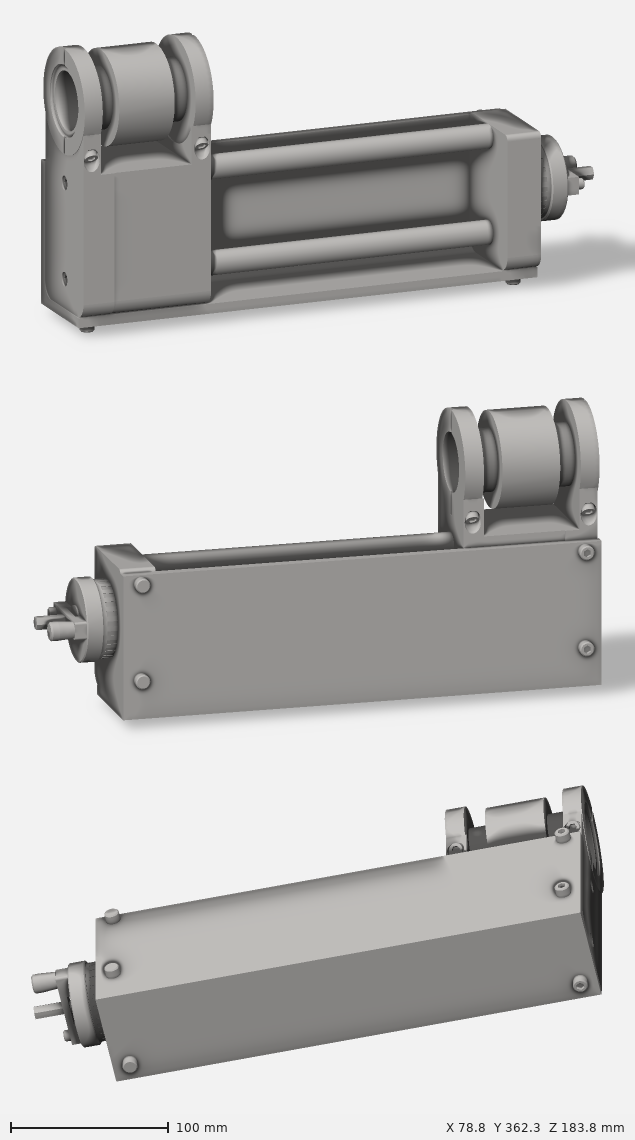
import cadquery as cq
import math


plate_thickness = 6.5
plate_height = 95.0
plate_width = 63.5
plate_length = 314.8
corner_radius = 10.0

body_width = 63.0
body_half = body_width / 2
plate_left = -body_half - plate_thickness
bracket_front = 0.7
front_wall_end = 22.0
bracket_end = 88.8
inner_width = 61.2
bracket_top = 101.5
axis_height = 143.0
ring_radius = 34.8
ring_thickness = 12.3
ring_proud = 0.5
rear_post_thickness = 13.5
ring_bore_radius = 24.0
ring_recess = 1.8
recess_chamfer = 1.0
slit_width = 3.3
slit_depth = 1.0

roller_radius = 31.5
roller_start = 25.5
roller_end = 63.5
sleeve_radius = 20.5
sleeve_bore_radius = 19.5

clamp_height = 111.5
clamp_pocket_radius = 5.5
clamp_pocket_depth = 5.0
clamp_head_radius = 4.5
clamp_head_recess = 1.0
clamp_tilt = 45

block_depth = 23.2
block_top = 97.0
block_fillet = 3.5
block_start = plate_length - block_depth
rod_radius = 8.0

hex_sides = 6
screw_low = 25.7
screw_high = 89.0
screw_front = 11.0
screw_rear = 303.2
head_radius = 4.7
head_height = 6.0
head_chamfer = 0.7
socket_size = 5.5
socket_depth = 2.5
bottom_screw_x = 12.5
seat_depth = 1.0

dial_height = 57.2
drum_radius = 25.5
drum_length = 9.5
flange_radius = 27.0
flange_length = 11.2
flange_chamfer = 0.7
graduation_count = 25
graduation_width = 3.3
graduation_depth = 0.5
graduation_length = 7.0
boss_radius = 9.8
boss_length = 1.0
neck_radius = 3.3
crank_left = -26.0
crank_right = 25.0
crank_end_fillet = 1.5
crank_height = 11.5
crank_thickness = 8.0
crank_slot_width = 22.5
crank_slot_depth = 3.5
knob_x = -21.5
knob_radius = 6.0
knob_neck_radius = 5.5
knob_taper_length = 10.0
knob_length = 15.5
knob_chamfer = 1.0
hex_size = 9.0
total_length = 362.3
pin_x = 21.0
pin_radius = 3.5
pin_length = 4.5
pin_chamfer = 0.7


def box(x0, x1, y0, y1, z0, z1):
    """Axis-aligned box between two opposite corners."""
    return cq.Workplane("XY").box(x1 - x0, y1 - y0, z1 - z0, centered=False).translate((x0, y0, z0))


def along_y(x, z, y_start):
    """Sketching plane at a given Y that extrudes toward +Y."""
    return cq.Workplane(cq.Plane((x, y_start, z), xDir=(-1, 0, 0), normal=(0, 1, 0)))


def rod(x, z, radius, y0, y1):
    """Cylinder parallel to Y."""
    return along_y(x, z, y0).circle(radius).extrude(y1 - y0)


def cap_screw(origin, direction, with_socket):
    """Chamfered screw head standing on a face, with an optional hex socket."""
    head = cq.Workplane(cq.Plane(origin, normal=direction)).circle(head_radius).extrude(head_height)
    head = head.faces(cq.selectors.DirectionMinMaxSelector(cq.Vector(*direction))).chamfer(head_chamfer)
    if with_socket:
        top = tuple(o + d * head_height for o, d in zip(origin, direction))
        inward = tuple(-d for d in direction)
        socket = cq.Workplane(cq.Plane(top, normal=inward)).polygon(hex_sides, socket_size)
        head = head.cut(socket.extrude(socket_depth))
    return head


def angle_plate():
    upright = box(plate_left, -body_half, 0, plate_length, 0, plate_height)
    base = box(plate_left, plate_left + plate_width, 0, plate_length, 0, plate_thickness)
    inner_corner = cq.selectors.NearestToPointSelector((-body_half, plate_length / 2, plate_thickness))
    return upright.union(base).edges(inner_corner).fillet(corner_radius)


def rounded_block(width, y0, y1, top):
    """Block resting on the base leg with its two lower corners rounded."""
    block = box(-width / 2, width / 2, y0, y1, plate_thickness, top)
    return block.edges("|Y and <Z").fillet(corner_radius)


def clamp_ring(ring_y0, post_y0, post_y1, width, slit_y0):
    """Ring seated on a post hollowed to its radius; one ring face carries two index slits."""
    ring = rod(0, axis_height, ring_radius, ring_y0, ring_y0 + ring_thickness)
    shoulder = axis_height - math.sqrt(ring_radius**2 - (width / 2) ** 2)
    post = box(-width / 2, width / 2, post_y0, post_y1, plate_thickness + corner_radius, shoulder)
    post = post.cut(rod(0, axis_height, ring_radius, post_y0, post_y1))
    ring_bottom = axis_height - ring_radius
    ring_top = axis_height + ring_radius
    slit = box(-slit_width / 2, slit_width / 2, slit_y0, slit_y0 + slit_depth, ring_bottom, ring_top)
    ring = post.union(ring.cut(slit))
    for side in (-1, 1):
        ring = clamp_screw(ring, side, width / 2, ring_y0 + ring_thickness / 2)
    return ring


def clamp_screw(ring, side, half_width, y):
    """Tilted pocket on one side of a post, holding a socket head screw."""
    tilt = math.radians(clamp_tilt)
    inward = cq.Vector(-side * math.cos(tilt), 0, math.sin(tilt))
    mouth = cq.Vector(side * half_width, y, clamp_height)

    def tilted(offset):
        return cq.Workplane(cq.Plane(mouth + inward * offset, xDir=(0, 1, 0), normal=inward))

    lead_in = 2 * clamp_pocket_radius
    pocket = tilted(-lead_in).circle(clamp_pocket_radius).extrude(lead_in + clamp_pocket_depth)
    head = tilted(clamp_head_recess).circle(clamp_head_radius).extrude(clamp_pocket_depth)
    socket = tilted(clamp_head_recess).polygon(hex_sides, socket_size).extrude(socket_depth)
    return ring.cut(pocket).union(head).cut(socket)


def bracket():
    front = rounded_block(body_width, bracket_front, front_wall_end, bracket_top)
    rear = rounded_block(inner_width, front_wall_end, bracket_end, bracket_top)
    front_ring_y = bracket_front - ring_proud
    rear_ring_y = bracket_end - ring_thickness
    front_ring = clamp_ring(
        front_ring_y, bracket_front, front_ring_y + ring_thickness, body_width, front_ring_y
    )
    rear_ring = clamp_ring(
        rear_ring_y, bracket_end - rear_post_thickness, bracket_end, inner_width, bracket_end - slit_depth
    )
    solid = front.union(rear).union(front_ring).union(rear_ring)

    sleeve_start = front_ring_y + ring_recess
    sleeve_end = bracket_end - ring_recess
    solid = solid.union(rod(0, axis_height, sleeve_radius, sleeve_start, sleeve_end))
    solid = solid.union(rod(0, axis_height, roller_radius, roller_start, roller_end))
    solid = solid.cut(rod(0, axis_height, sleeve_bore_radius, 0, bracket_end))

    recess = rod(0, axis_height, ring_bore_radius, front_ring_y, front_ring_y + ring_recess)
    recess = recess.faces(">Y").chamfer(recess_chamfer)
    solid = solid.cut(recess)

    for z in (screw_low, screw_high):
        solid = solid.cut(rod(0, z, head_radius, bracket_front, bracket_front + seat_depth))
        socket = along_y(0, z, bracket_front).polygon(hex_sides, socket_size)
        solid = solid.cut(socket.extrude(seat_depth + socket_depth))
    return solid


def end_block():
    block = rounded_block(body_width, block_start, plate_length, block_top)
    return block.edges("|Y and >Z").fillet(block_fillet)


def dial():
    drum_end = plate_length + drum_length
    flange_end = drum_end + flange_length
    drum = rod(0, dial_height, drum_radius, plate_length, drum_end)
    for i in range(graduation_count):
        mark = box(
            drum_radius - graduation_depth, drum_radius + graduation_depth,
            plate_length, plate_length + graduation_length,
            -graduation_width / 2, graduation_width / 2,
        )
        mark = mark.rotate((0, 0, 0), (0, 1, 0), i * 360 / graduation_count)
        drum = drum.cut(mark.translate((0, 0, dial_height)))
    flange = rod(0, dial_height, flange_radius, drum_end, flange_end).edges().chamfer(flange_chamfer)
    boss = rod(0, dial_height, boss_radius, flange_end, flange_end + boss_length)
    return drum.union(flange).union(boss)


def crank():
    start = plate_length + drum_length + flange_length
    end = start + crank_thickness
    half_height = crank_height / 2
    bar = box(crank_left, crank_right, start, end, dial_height - half_height, dial_height + half_height)
    bar = bar.edges("|Y and <X").fillet(crank_end_fillet)
    half_slot = crank_slot_width / 2
    slot_end = start + crank_slot_depth
    slot = box(-half_slot, half_slot, start, slot_end, dial_height - half_height, dial_height + half_height)
    bar = bar.cut(slot)
    neck = rod(0, dial_height, neck_radius, start, end)
    hex_shaft = along_y(0, dial_height, end).polygon(hex_sides, hex_size).extrude(total_length - end)
    knob_top = end + knob_length
    knob = (
        cq.Workplane("XY")
        .moveTo(0, end)
        .lineTo(knob_neck_radius, end)
        .lineTo(knob_radius, end + knob_taper_length)
        .lineTo(knob_radius, knob_top - knob_chamfer)
        .lineTo(knob_radius - knob_chamfer, knob_top)
        .lineTo(0, knob_top)
        .close()
        .revolve(360, (0, 0), (0, 1))
        .translate((knob_x, 0, dial_height))
    )
    pin = rod(pin_x, dial_height, pin_radius, end, end + pin_length).faces(">Y").chamfer(pin_chamfer)
    return bar.union(neck).union(hex_shaft).union(knob).union(pin)


result = angle_plate().union(bracket()).union(end_block())
for rod_height in (screw_low, screw_high):
    result = result.union(rod(0, rod_height, rod_radius, bracket_end, block_start))
result = result.union(dial()).union(crank())

for screw_y in (screw_front, screw_rear):
    is_front = screw_y == screw_front
    for screw_z in (screw_low, screw_high):
        result = result.union(cap_screw((plate_left, screw_y, screw_z), (-1, 0, 0), is_front))
    result = result.union(cap_screw((bottom_screw_x, screw_y, 0), (0, 0, -1), is_front))